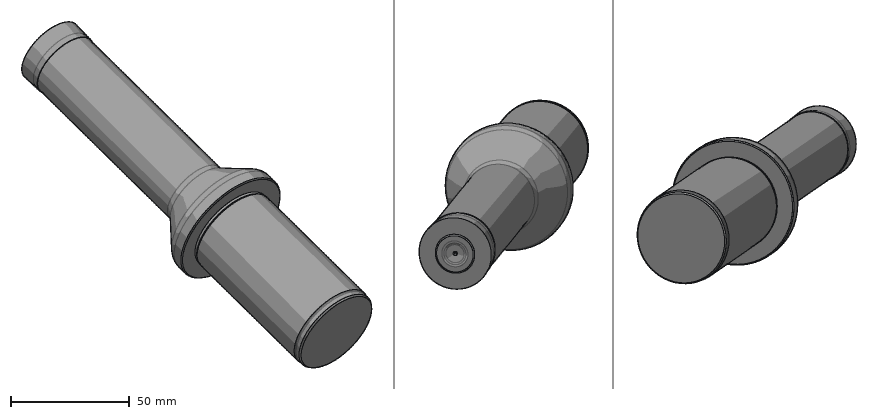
import cadquery as cq
import math

total_length = 191.02

shank_radius = 40 / 2
shank_length = 70
relief_radius = 39.5 / 2
neck_length = 1.2
neck_step_length = 0.6
end_relief_start = 187.35
end_relief_angle = math.radians(20)
end_relief_blend_radius = 1.6
end_chamfer_length = 0.8
end_chamfer_drop = 0.55

flange_radius = 54 / 2
flange_chamfer = 0.5
cone_angle = math.radians(37.3)
cone_blend_radius = 5
cone_foot = 96.95

shaft_radius = 30 / 2
nose_front = 1.1
nose_front_radius = 13.3
nose_end = 7.7

head_end = 10.6
head_end_radius = 15.25
rim_radius = 15.5
rim_setback = 0.6
boss_radius = 8.45
boss_chamfer = 0.6
boss_height = 0.35

sink_radius = 5.6
sink_step_radius = 4.7
sink_step_depth = 0.15
dish_radius = 3.9
dish_edge_depth = 0.4
dish_depth = 0.75
centre_radius = 0.9
centre_floor_radius = 0.4
centre_depth = 0.3


def blend_size(radius, angle):
    """Length along X and change of radius of an arc that turns away from the X direction by angle."""
    return radius * math.sin(angle), radius * (1 - math.cos(angle))


blend_run, blend_rise = blend_size(cone_blend_radius, cone_angle)
blend_mid_run, blend_mid_rise = blend_size(cone_blend_radius, cone_angle / 2)
cone_rise = flange_radius - shaft_radius - 2 * blend_rise
cone_start = cone_foot + blend_run
cone_end = cone_start + cone_rise / math.tan(cone_angle)
flange_start = cone_end + blend_run

flange_end = total_length - shank_length
neck_end = flange_end + neck_length
relief_run, relief_rise = blend_size(end_relief_blend_radius, end_relief_angle)
relief_mid_run, relief_mid_rise = blend_size(end_relief_blend_radius, end_relief_angle / 2)
relief_taper_drop = shank_radius - relief_radius - relief_rise
relief_blend_start = end_relief_start + relief_taper_drop / math.tan(end_relief_angle)
relief_blend_end = relief_blend_start + relief_run


def nose_outline():
    """Front of the shaft, which is also the inside of the head."""
    return (
        cq.Workplane("XY")
        .moveTo(nose_front, 0)
        .lineTo(nose_front, nose_front_radius)
        .lineTo(nose_end, shaft_radius)
    )


def revolve_about_x(profile):
    return profile.close().revolve(360, (0, 0, 0), (1, 0, 0))


def make_holder():
    cone = (
        nose_outline()
        .lineTo(cone_foot, shaft_radius)
        .threePointArc(
            (cone_foot + blend_mid_run, shaft_radius + blend_mid_rise),
            (cone_start, shaft_radius + blend_rise),
        )
        .lineTo(cone_end, flange_radius - blend_rise)
        .threePointArc(
            (flange_start - blend_mid_run, flange_radius - blend_mid_rise),
            (flange_start, flange_radius),
        )
    )
    flange = (
        cone.lineTo(flange_end - flange_chamfer, flange_radius)
        .lineTo(flange_end, flange_radius - flange_chamfer)
        .lineTo(flange_end, relief_radius)
    )
    shank = (
        flange.lineTo(neck_end, relief_radius)
        .lineTo(neck_end + neck_step_length, shank_radius)
        .lineTo(end_relief_start, shank_radius)
        .lineTo(relief_blend_start, relief_radius + relief_rise)
        .threePointArc(
            (relief_blend_end - relief_mid_run, relief_radius + relief_mid_rise),
            (relief_blend_end, relief_radius),
        )
        .lineTo(total_length - end_chamfer_length, relief_radius)
        .lineTo(total_length, relief_radius - end_chamfer_drop)
        .lineTo(total_length, 0)
    )
    return revolve_about_x(shank)


def make_head():
    outside = (
        nose_outline()
        .lineTo(head_end, shaft_radius)
        .lineTo(head_end, head_end_radius)
        .lineTo(rim_setback, rim_radius)
        .lineTo(boss_height, boss_radius)
        .lineTo(0, boss_radius - boss_chamfer)
    )
    recess = (
        outside.lineTo(0, sink_radius)
        .lineTo(sink_step_depth, sink_step_radius)
        .lineTo(dish_edge_depth, dish_radius)
        .lineTo(dish_depth, centre_radius)
        .lineTo(dish_depth + centre_depth, centre_floor_radius)
        .lineTo(dish_depth + centre_depth, 0)
    )
    return revolve_about_x(recess)


holder = make_holder()
head = make_head()
result = cq.Compound.makeCompound([holder.val(), head.val()])